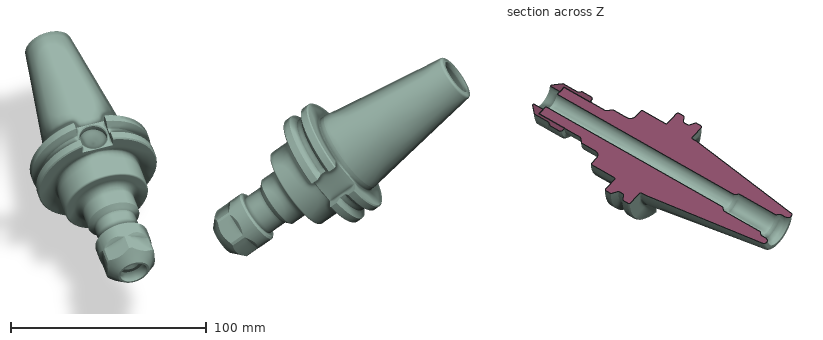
import cadquery as cq
import math

TOTAL_LENGTH = 150.0

TAPER_RATIO = 7 / 24
GAUGE_DIA = 44.4
GAUGE_X = 68.3
SMALL_END_ROUND = 1.0

FLANGE_DIA = 63.5
FLANGE_X = 71.4
FLANGE_WIDTH = 15.9
FLANGE_CHAMFER = 0.6
FLANGE_ROOT_FILLET = 0.8
GROOVE_FLOOR_DIA = 56.5
GROOVE_FLOOR_WIDTH = 3.0
GROOVE_MOUTH_WIDTH = 7.4

SLOT_WIDTH = 16.2
UPPER_SLOT_HEIGHT = 25.0
LOWER_SLOT_HEIGHT = 22.7
POCKET_MOUTH_DIA = 15.3
POCKET_DIA = 14.3
POCKET_WALL_DEPTH = 3.5
POCKET_TIP_ANGLE = 140.0

COLLAR_END_X = 103.1
COLLAR_ROUND = 0.9
SHOULDER_DIA = 27.5
SHOULDER_END_X = 115.0
SHOULDER_FILLET = 3.3
NECK_DIA = 22.0

MOUTH_DIA = 18.6
PILOT_DIA = 16.8
MOUTH_DEPTH = 2.0
PILOT_DEPTH = 5.1
THREAD_DIA = 13.4
THREAD_DEPTH = 30.0
BORE_DIA = 9.8

NUT_DIA = 28.0
NUT_X = 127.5
NUT_CHAMFER = 0.9
NUT_FACE_DIA = 16.5
NUT_HOLE_DIA = 14.3
NUT_SEAT_X = 144.0
HEX_ACROSS_FLATS = 25.0
HEX_X = 136.7
HEX_RUNOUT = 2.0
HEX_SIDES = 6

ARC_MIDPOINT = 1 - math.sqrt(0.5)
FLANGE_END_X = FLANGE_X + FLANGE_WIDTH
FLANGE_MID_X = FLANGE_X + FLANGE_WIDTH / 2
SMALL_END_RADIUS = (GAUGE_DIA - GAUGE_X * TAPER_RATIO) / 2
COLLAR_RADIUS = GAUGE_DIA / 2
SHOULDER_RADIUS = SHOULDER_DIA / 2
NECK_RADIUS = NECK_DIA / 2


def revolve_about_x(profile):
    """Turn a closed (x, radius) profile once round the X axis."""
    return profile.close().revolve(360, (0, 0, 0), (1, 0, 0))


def turned_holder():
    """Outside of the holder, from the small taper end to the tip of the neck."""
    flange_radius = FLANGE_DIA / 2
    groove_radius = GROOVE_FLOOR_DIA / 2
    neck_chamfer = SHOULDER_RADIUS - NECK_RADIUS
    shoulder_offset = SHOULDER_FILLET * ARC_MIDPOINT
    round_offset = SMALL_END_ROUND * ARC_MIDPOINT
    collar_offset = COLLAR_ROUND * ARC_MIDPOINT
    root_offset = FLANGE_ROOT_FILLET * ARC_MIDPOINT
    profile = (
        cq.Workplane("XY")
        .lineTo(0, SMALL_END_RADIUS - SMALL_END_ROUND)
        .threePointArc(
            (round_offset, SMALL_END_RADIUS - round_offset),
            (SMALL_END_ROUND, SMALL_END_RADIUS + SMALL_END_ROUND * TAPER_RATIO / 2),
        )
        .lineTo(GAUGE_X, COLLAR_RADIUS)
        .lineTo(FLANGE_X - FLANGE_ROOT_FILLET, COLLAR_RADIUS)
        .threePointArc(
            (FLANGE_X - root_offset, COLLAR_RADIUS + root_offset),
            (FLANGE_X, COLLAR_RADIUS + FLANGE_ROOT_FILLET),
        )
        .lineTo(FLANGE_X, flange_radius - FLANGE_CHAMFER)
        .lineTo(FLANGE_X + FLANGE_CHAMFER, flange_radius)
        .lineTo(FLANGE_MID_X - GROOVE_MOUTH_WIDTH / 2, flange_radius)
        .lineTo(FLANGE_MID_X - GROOVE_FLOOR_WIDTH / 2, groove_radius)
        .lineTo(FLANGE_MID_X + GROOVE_FLOOR_WIDTH / 2, groove_radius)
        .lineTo(FLANGE_MID_X + GROOVE_MOUTH_WIDTH / 2, flange_radius)
        .lineTo(FLANGE_END_X - FLANGE_CHAMFER, flange_radius)
        .lineTo(FLANGE_END_X, flange_radius - FLANGE_CHAMFER)
        .lineTo(FLANGE_END_X, COLLAR_RADIUS + FLANGE_ROOT_FILLET)
        .threePointArc(
            (FLANGE_END_X + root_offset, COLLAR_RADIUS + root_offset),
            (FLANGE_END_X + FLANGE_ROOT_FILLET, COLLAR_RADIUS),
        )
        .lineTo(COLLAR_END_X - COLLAR_ROUND, COLLAR_RADIUS)
        .threePointArc(
            (COLLAR_END_X - collar_offset, COLLAR_RADIUS - collar_offset),
            (COLLAR_END_X, COLLAR_RADIUS - COLLAR_ROUND),
        )
        .lineTo(COLLAR_END_X, SHOULDER_RADIUS + SHOULDER_FILLET)
        .threePointArc(
            (COLLAR_END_X + shoulder_offset, SHOULDER_RADIUS + shoulder_offset),
            (COLLAR_END_X + SHOULDER_FILLET, SHOULDER_RADIUS),
        )
        .lineTo(SHOULDER_END_X, SHOULDER_RADIUS)
        .lineTo(SHOULDER_END_X + neck_chamfer, NECK_RADIUS)
        .lineTo(NUT_SEAT_X, NECK_RADIUS)
        .lineTo(NUT_SEAT_X, 0)
    )
    return revolve_about_x(profile)


def holder_bore():
    """Through bore with a tapered mouth, a pilot and a thread bore, narrowing through 45 degree cones."""
    pilot_cone = (PILOT_DIA - THREAD_DIA) / 2
    thread_cone = (THREAD_DIA - BORE_DIA) / 2
    profile = (
        cq.Workplane("XY")
        .lineTo(0, MOUTH_DIA / 2)
        .lineTo(MOUTH_DEPTH, PILOT_DIA / 2)
        .lineTo(PILOT_DEPTH, PILOT_DIA / 2)
        .lineTo(PILOT_DEPTH + pilot_cone, THREAD_DIA / 2)
        .lineTo(THREAD_DEPTH, THREAD_DIA / 2)
        .lineTo(THREAD_DEPTH + thread_cone, BORE_DIA / 2)
        .lineTo(NUT_SEAT_X, BORE_DIA / 2)
        .lineTo(NUT_SEAT_X, 0)
    )
    return revolve_about_x(profile)


def drive_slot(floor_height, side):
    """Block that clears one drive slot; side is +1 above the axis and -1 below it."""
    depth = FLANGE_DIA / 2 - floor_height
    return cq.Workplane("XY").box(FLANGE_WIDTH, SLOT_WIDTH, depth).translate(
        (FLANGE_MID_X, 0, side * (floor_height + depth / 2))
    )


def slot_pocket():
    """Chamfered drilled pocket with a conical end, sunk into the floor of the upper slot."""
    mouth_radius = POCKET_MOUTH_DIA / 2
    radius = POCKET_DIA / 2
    chamfer = mouth_radius - radius
    cone_depth = radius / math.tan(math.radians(POCKET_TIP_ANGLE / 2))
    return (
        cq.Workplane("XZ")
        .lineTo(mouth_radius, 0)
        .lineTo(radius, -chamfer)
        .lineTo(radius, -POCKET_WALL_DEPTH)
        .lineTo(0, -POCKET_WALL_DEPTH - cone_depth)
        .close()
        .revolve(360, (0, 0, 0), (0, 1, 0))
        .translate((FLANGE_MID_X, 0, UPPER_SLOT_HEIGHT))
    )


def make_holder():
    return (
        turned_holder()
        .cut(holder_bore())
        .cut(drive_slot(UPPER_SLOT_HEIGHT, 1))
        .cut(drive_slot(LOWER_SLOT_HEIGHT, -1))
        .cut(slot_pocket())
    )


def turned_nut():
    """Nut ring with a 45 degree nose, seated over the neck of the holder."""
    radius = NUT_DIA / 2
    face_radius = NUT_FACE_DIA / 2
    profile = (
        cq.Workplane("XY")
        .moveTo(NUT_X, NECK_RADIUS)
        .lineTo(NUT_X, radius - NUT_CHAMFER)
        .lineTo(NUT_X + NUT_CHAMFER, radius)
        .lineTo(TOTAL_LENGTH - (radius - face_radius), radius)
        .lineTo(TOTAL_LENGTH, face_radius)
        .lineTo(TOTAL_LENGTH, NUT_HOLE_DIA / 2)
        .lineTo(NUT_SEAT_X, NUT_HOLE_DIA / 2)
        .lineTo(NUT_SEAT_X, NECK_RADIUS)
    )
    return revolve_about_x(profile)


def hex_flat_cutter():
    """Cutter for the flat facing +Y, with a sloping run-out at its inner end."""
    flat = HEX_ACROSS_FLATS / 2
    radius = NUT_DIA / 2
    return (
        cq.Workplane("XY")
        .moveTo(HEX_X, flat)
        .lineTo(TOTAL_LENGTH, flat)
        .lineTo(TOTAL_LENGTH, radius)
        .lineTo(HEX_X - HEX_RUNOUT, radius)
        .close()
        .extrude(radius, both=True)
    )


def make_nut():
    nut = turned_nut()
    for index in range(HEX_SIDES):
        turn = index * 360 / HEX_SIDES
        nut = nut.cut(hex_flat_cutter().rotate((0, 0, 0), (1, 0, 0), turn))
    return nut


holder = make_holder()
nut = make_nut()

result = cq.Compound.makeCompound([holder.val(), nut.val()])